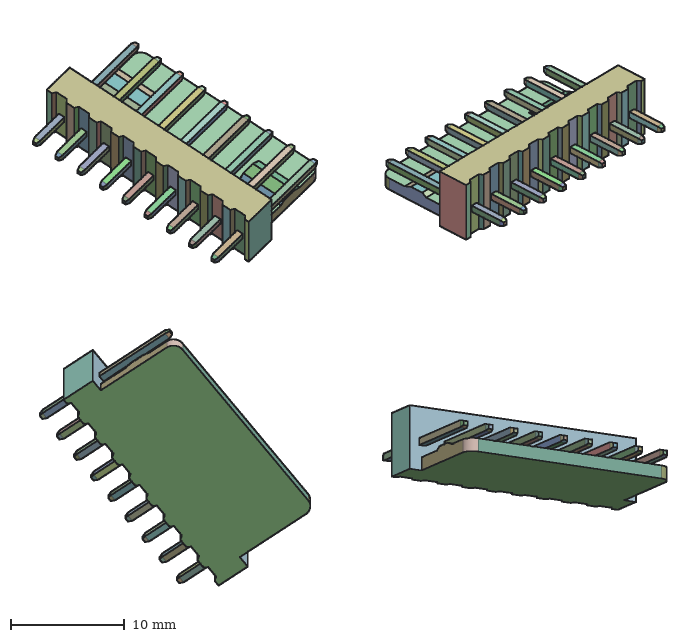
import cadquery as cq

PIN_COUNT = 9
PIN_PITCH = 2.54
PIN_SIZE = 0.64
PIN_TIP_SIZE = 0.4
PIN_TIP_LENGTH = 0.4
PIN_HEIGHT = 2.6
PIN_REACH_FRONT = 3.4
PIN_REACH_BACK = 7.6

BODY_LENGTH = 23.02
BODY_DEPTH = 3.2
BODY_HEIGHT = 5.8
BODY_OFFSET = -0.08

GROOVE_MOUTH = 1.65
GROOVE_FLOOR = 1.2
GROOVE_DEPTH = 0.35

PLATE_LENGTH = 20.65
PLATE_REACH = 8.2
PLATE_THICKNESS = 1.2
PLATE_CORNER_RADIUS = 1.0

RIDGE_LENGTH = 4.68
RIDGE_HEIGHT = 0.3
RIDGE_FRONT_FOOT = 2.7
RIDGE_FRONT_CREST = 3.2
RIDGE_BACK_CREST = 4.55
RIDGE_BACK_FOOT = 5.3

BODY_LEFT = BODY_OFFSET - BODY_LENGTH / 2
PLATE_LEFT = BODY_OFFSET - PLATE_LENGTH / 2
PLATE_RIGHT = BODY_OFFSET + PLATE_LENGTH / 2
PIN_POSITIONS = [(i - (PIN_COUNT - 1) / 2) * PIN_PITCH for i in range(PIN_COUNT)]


def make_groove(x):
    """Cutter for the full-height groove around the pin at x."""
    return (
        cq.Workplane("XY")
        .polyline([
            (x - GROOVE_MOUTH / 2, 0),
            (x + GROOVE_MOUTH / 2, 0),
            (x + GROOVE_FLOOR / 2, GROOVE_DEPTH),
            (x - GROOVE_FLOOR / 2, GROOVE_DEPTH),
        ])
        .close()
        .extrude(BODY_HEIGHT)
    )


def make_body():
    """Rectangular bar with a groove at every pin."""
    body = cq.Workplane("XY").box(BODY_LENGTH, BODY_DEPTH, BODY_HEIGHT, centered=False)
    body = body.translate((BODY_LEFT, 0, 0))
    for x in PIN_POSITIONS:
        body = body.cut(make_groove(x))
    return body


def make_plate():
    """Flat plate with its two free corners rounded."""
    plate = cq.Workplane("XY").box(PLATE_LENGTH, PLATE_REACH, PLATE_THICKNESS, centered=False)
    plate = plate.edges("|Z and >Y").fillet(PLATE_CORNER_RADIUS)
    return plate.translate((PLATE_LEFT, BODY_DEPTH, 0))


def make_ridge(left):
    """Latch ridge with sloped flanks, starting at X = left."""
    crest = PLATE_THICKNESS + RIDGE_HEIGHT
    return (
        cq.Workplane("YZ", origin=(left, BODY_DEPTH, 0))
        .polyline([
            (RIDGE_FRONT_FOOT, 0),
            (RIDGE_FRONT_FOOT, PLATE_THICKNESS),
            (RIDGE_FRONT_CREST, crest),
            (RIDGE_BACK_CREST, crest),
            (RIDGE_BACK_FOOT, PLATE_THICKNESS),
            (RIDGE_BACK_FOOT, 0),
        ])
        .close()
        .extrude(RIDGE_LENGTH)
    )


def make_pin_tip(x, y, direction):
    """Tapered end starting at Y = y; direction is +1 or -1 along Y."""
    start = cq.Plane(origin=(x, y, PIN_HEIGHT), xDir=(1, 0, 0), normal=(0, direction, 0))
    return (
        cq.Workplane(start)
        .rect(PIN_SIZE, PIN_SIZE)
        .workplane(offset=PIN_TIP_LENGTH)
        .rect(PIN_TIP_SIZE, PIN_TIP_SIZE)
        .loft(ruled=True)
    )


def make_pin(x):
    """Square pin through the body with both ends tapered."""
    shank_front = PIN_TIP_LENGTH - PIN_REACH_FRONT
    shank_back = BODY_DEPTH + PIN_REACH_BACK - PIN_TIP_LENGTH
    shank = cq.Workplane("XY").box(
        PIN_SIZE, shank_back - shank_front, PIN_SIZE, centered=(True, False, True)
    )
    shank = shank.translate((x, shank_front, PIN_HEIGHT))
    shank = shank.union(make_pin_tip(x, shank_front, -1))
    return shank.union(make_pin_tip(x, shank_back, 1))


result = make_body().union(make_plate())
for ridge_left in (PLATE_LEFT, PLATE_RIGHT - RIDGE_LENGTH):
    result = result.union(make_ridge(ridge_left))
for pin_x in PIN_POSITIONS:
    result = result.union(make_pin(pin_x))